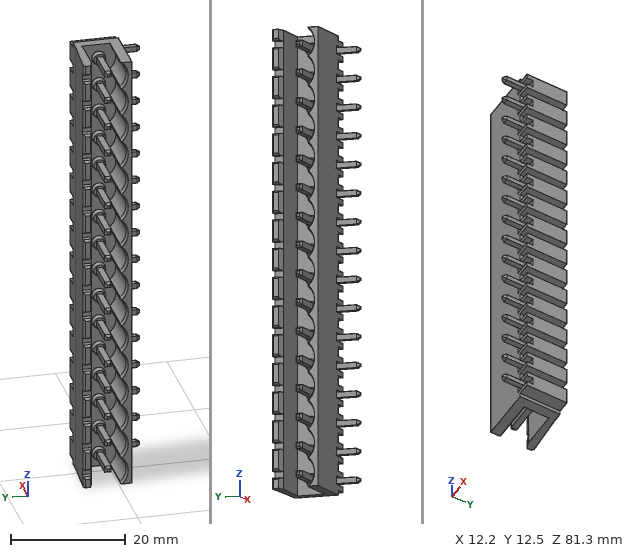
import cadquery as cq

POLES = 16
HEIGHT = 81.3
PITCH = HEIGHT / POLES

BODY_DEPTH = 9.9
CHANNEL_DEPTH = 8.1
BODY_TOP_Y = 8.1
LATCH_INNER_Y = 6.9

PIN_Y = 4.0
PIN_WIDTH = 1.1
PIN_TIP_X = 0.7
PIN_TIP_WIDTH = 0.5
PIN_TIP_LENGTH = 0.6
COLLAR_LENGTH = 1.0
COLLAR_BASE_RADIUS = 1.2
COLLAR_END_RADIUS = 1.05

FRONT_WALL = 1.95
SCALLOP_FLOOR = 0.9
SCALLOP_RADIUS = PIN_Y - SCALLOP_FLOOR
SCALLOP_LEAD = 0.25
SCALLOP_LEAD_DEPTH = 0.7

LATCH_TIP_Y = 8.6
LATCH_EDGE = 0.3
LATCH_EDGE_DEPTH = 0.5
LATCH_LEAD = 0.5
LATCH_LEAD_DEPTH = 1.4
NOTCH_WIDTH = 1.2

TAIL_WIDTH = 1.0
TAIL_X = BODY_DEPTH + TAIL_WIDTH / 2
TAIL_END_Y = -3.9
TAIL_TIP_WIDTH = 0.4
TAIL_TIP_LENGTH = 0.6

FOOT_END_X = 12.2
FOOT_HEIGHT = 3.4
POCKET_START_X = 9.1
POCKET_HEIGHT = 1.5
POCKET_DEPTH = 1.2


def box(x0, x1, y0, y1, z0, z1):
    return cq.Workplane("XY").box(x1 - x0, y1 - y0, z1 - z0, centered=False).translate((x0, y0, z0))


def extrude_along_z(points):
    return cq.Workplane("XY").workplane(offset=-HEIGHT / 2).polyline(points).close().extrude(HEIGHT)


def pointed_bar(width, tip_width, tip_length, length):
    """Square bar along +Z from the origin with a tapered far end."""
    shank = length - tip_length
    bar = cq.Workplane("XY").rect(width, width).extrude(shank)
    tip = (
        cq.Workplane("XY").workplane(offset=shank).rect(width, width)
        .workplane(offset=tip_length).rect(tip_width, tip_width).loft(combine=True)
    )
    return bar.union(tip)


def front_wall():
    wall = box(0, CHANNEL_DEPTH, 0, FRONT_WALL, -HEIGHT / 2, HEIGHT / 2)
    along_x = cq.Vector(1, 0, 0)
    for z in pole_heights:
        start = cq.Vector(0, PIN_Y, z)
        bore = cq.Solid.makeCylinder(SCALLOP_RADIUS, CHANNEL_DEPTH, start, along_x)
        lead = cq.Solid.makeCone(
            SCALLOP_RADIUS + SCALLOP_LEAD, SCALLOP_RADIUS, SCALLOP_LEAD_DEPTH, start, along_x
        )
        wall = wall.cut(cq.Workplane(bore)).cut(cq.Workplane(lead))
    return wall


def latch_wall():
    wall = extrude_along_z([
        (0, LATCH_INNER_Y + LATCH_LEAD),
        (LATCH_LEAD_DEPTH, LATCH_INNER_Y),
        (BODY_DEPTH, LATCH_INNER_Y),
        (BODY_DEPTH, BODY_TOP_Y),
        (CHANNEL_DEPTH, BODY_TOP_Y),
        (LATCH_EDGE_DEPTH, LATCH_TIP_Y),
        (0, LATCH_TIP_Y - LATCH_EDGE),
    ])
    half = NOTCH_WIDTH / 2
    mouth = half + LATCH_EDGE
    notch = (
        cq.Workplane("XZ")
        .polyline([
            (0, -mouth),
            (LATCH_EDGE_DEPTH, -half),
            (LATCH_LEAD_DEPTH, -half),
            (LATCH_LEAD_DEPTH, half),
            (LATCH_EDGE_DEPTH, half),
            (0, mouth),
        ])
        .close().extrude(-LATCH_TIP_Y)
    )
    for z in pole_heights:
        wall = wall.cut(notch.translate((0, 0, z)))
    return wall


def foot(z):
    return box(BODY_DEPTH, FOOT_END_X, 0, BODY_TOP_Y, z - FOOT_HEIGHT / 2, z + FOOT_HEIGHT / 2)


def tail_pocket(z):
    return box(POCKET_START_X, FOOT_END_X, 0, POCKET_DEPTH, z - POCKET_HEIGHT / 2, z + POCKET_HEIGHT / 2)


def contact(z):
    """Mating pin with its collar, plus the solder tail reaching out of the front face."""
    pin = (
        pointed_bar(PIN_WIDTH, PIN_TIP_WIDTH, PIN_TIP_LENGTH, BODY_DEPTH - PIN_TIP_X)
        .rotate((0, 0, 0), (0, 1, 0), -90)
        .translate((BODY_DEPTH, PIN_Y, z))
    )
    collar = cq.Workplane(cq.Solid.makeCone(
        COLLAR_BASE_RADIUS, COLLAR_END_RADIUS, COLLAR_LENGTH,
        cq.Vector(CHANNEL_DEPTH, PIN_Y, z), cq.Vector(-1, 0, 0),
    ))
    tail = (
        pointed_bar(TAIL_WIDTH, TAIL_TIP_WIDTH, TAIL_TIP_LENGTH, PIN_Y - TAIL_END_Y)
        .rotate((0, 0, 0), (1, 0, 0), 90)
        .translate((TAIL_X, PIN_Y, z))
    )
    return pin.union(collar).union(tail)


pole_heights = [(i - (POLES - 1) / 2) * PITCH for i in range(POLES)]

back_wall = box(CHANNEL_DEPTH, BODY_DEPTH, 0, BODY_TOP_Y, -HEIGHT / 2, HEIGHT / 2)
result = back_wall.union(front_wall()).union(latch_wall())
for pole_z in pole_heights:
    result = result.union(foot(pole_z)).cut(tail_pocket(pole_z)).union(contact(pole_z))